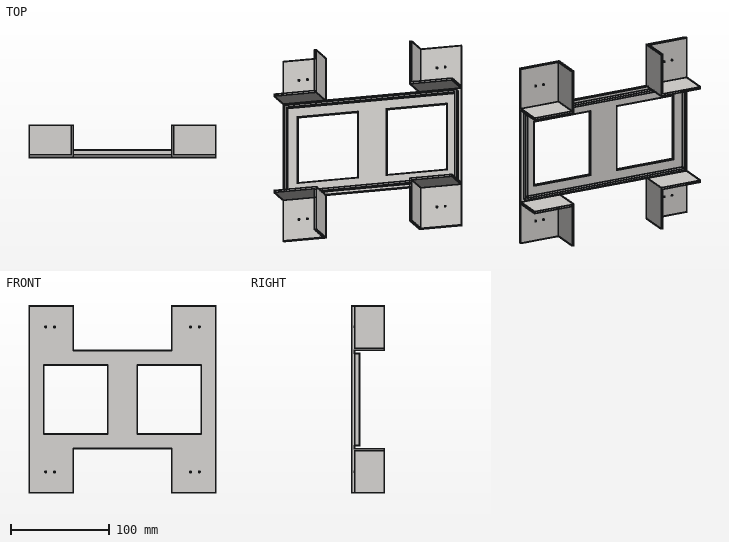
import cadquery as cq

overall = 190.0
depth = 33.0
plate_thickness = 3.0
leg_size = 45.0
flange_thickness = 2.0
window_width = 65.0
window_height = 70.0
window_margin = 15.0
rim_inset = 3.0
rim_wall = 2.0
rim_depth = 5.0
hole_diameter = 1.1
hole_x_positions = (69.2, 78.0)
hole_z = 73.7

half = overall / 2
band_half_height = half - leg_size
leg_center = half - leg_size / 2
flange_center = band_half_height + flange_thickness / 2
window_x = half - window_margin - window_width / 2
signs = (-1, 1)


def block(width, height, y_start, y_end, x=0.0, z=0.0):
    """Box centred at (x, z), reaching from y_start to y_end."""
    length = y_end - y_start
    return cq.Workplane("XY").box(width, length, height).translate((x, y_start + length / 2, z))


def plate():
    """Square plate with notched top and bottom edges and two windows."""
    body = block(overall, overall, 0, plate_thickness)
    notch_width = 2 * band_half_height
    for sign in signs:
        body = body.cut(block(notch_width, leg_size, 0, plate_thickness, z=sign * leg_center))
        body = body.cut(block(window_width, window_height, 0, plate_thickness, x=sign * window_x))
    return body


def corner_flanges(x_sign, z_sign):
    """Two walls meeting at the inner corner of one leg."""
    x = x_sign * leg_center
    z = z_sign * leg_center
    upright = block(flange_thickness, leg_size, 0, depth, x_sign * flange_center, z)
    shelf = block(leg_size, flange_thickness, 0, depth, x, z_sign * flange_center)
    return upright.union(shelf)


def rear_rim():
    """Rectangular rim standing on the rear of the middle band."""
    width = overall - 2 * rim_inset
    height = 2 * (band_half_height - rim_inset)
    rim_end = plate_thickness + rim_depth
    outer = block(width, height, plate_thickness, rim_end)
    inner = block(width - 2 * rim_wall, height - 2 * rim_wall, plate_thickness, rim_end)
    return outer.cut(inner)


def leg_holes():
    """Pair of small through holes in each leg."""
    points = [(sx * x, sz * hole_z) for sx in signs for sz in signs for x in hole_x_positions]
    return cq.Workplane("XZ").pushPoints(points).circle(hole_diameter / 2).extrude(-plate_thickness)


result = plate().union(rear_rim())
for x_sign in signs:
    for z_sign in signs:
        result = result.union(corner_flanges(x_sign, z_sign))
result = result.cut(leg_holes())